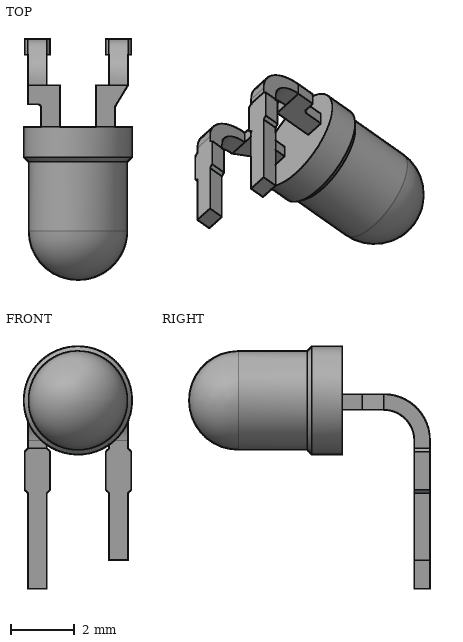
import cadquery as cq
import math


cos_45 = math.cos(math.pi / 4)

lens_radius = 1.55
lens_length = 4.8
flange_radius = 1.7
flange_length = 1.1
flange_chamfer = flange_radius - lens_radius
dome_start = lens_length - lens_radius

lead_width = 0.6
lead_thickness = 0.5
lead_pitch = 2.54
leg_outer_x = (lead_pitch + lead_width) / 2
leg_inner_x = (lead_pitch - lead_width) / 2

flat_top = 0.2
flat_bottom = flat_top - lead_thickness
flat_length = 1.3
flat_inner_x = 0.56
flat_outer_x = flat_inner_x + lead_width
arm_start = flat_length - lead_width
arm_fillet = 0.1
taper_start = 0.62

bend_inner_radius = 0.95
bend_outer_radius = bend_inner_radius + lead_thickness
bend_center_z = flat_top - bend_outer_radius
leg_back_y = flat_length + bend_outer_radius
leg_front_y = leg_back_y - lead_thickness

standoff_top = -1.5
standoff_bottom = -2.9
standoff_step = 0.1
long_leg_bottom = -5.9
short_leg_bottom = -5.0


def make_lens():
    """Flange, barrel and hemispherical dome, revolved about the Y axis."""
    dome_mid = lens_radius * cos_45
    profile = (
        cq.Workplane("XY")
        .lineTo(flange_radius, 0)
        .lineTo(flange_radius, flange_chamfer - flange_length)
        .lineTo(lens_radius, -flange_length)
        .lineTo(lens_radius, -dome_start)
        .threePointArc((dome_mid, -dome_start - dome_mid), (0, -lens_length))
        .close()
    )
    return profile.revolve(360, (0, 0, 0), (0, 1, 0))


def make_stepped_flat():
    """Flat of the long lead: a square arm steps out to the leg, with a rounded inner corner."""
    return (
        cq.Workplane("XY", origin=(0, 0, flat_bottom))
        .moveTo(-flat_inner_x, 0)
        .lineTo(-flat_inner_x, flat_length)
        .lineTo(-leg_outer_x, flat_length)
        .lineTo(-leg_outer_x, arm_start)
        .lineTo(-flat_outer_x - arm_fillet, arm_start)
        .radiusArc((-flat_outer_x, arm_start - arm_fillet), arm_fillet)
        .lineTo(-flat_outer_x, 0)
        .close()
        .extrude(lead_thickness)
    )


def make_tapered_flat():
    """Flat of the short lead: its outer edge slants out to the leg."""
    return (
        cq.Workplane("XY", origin=(0, 0, flat_bottom))
        .moveTo(flat_inner_x, 0)
        .lineTo(flat_outer_x, 0)
        .lineTo(flat_outer_x, taper_start)
        .lineTo(leg_outer_x, flat_length)
        .lineTo(flat_inner_x, flat_length)
        .close()
        .extrude(lead_thickness)
    )


def make_bend(start_x):
    """Quarter-circle bend from the flat, plus the short straight down to the stand-off."""
    outer_mid = (flat_length + bend_outer_radius * cos_45, bend_center_z + bend_outer_radius * cos_45)
    inner_mid = (flat_length + bend_inner_radius * cos_45, bend_center_z + bend_inner_radius * cos_45)
    return (
        cq.Workplane("YZ", origin=(start_x, 0, 0))
        .moveTo(flat_length, flat_top)
        .threePointArc(outer_mid, (leg_back_y, bend_center_z))
        .lineTo(leg_back_y, standoff_top)
        .lineTo(leg_front_y, standoff_top)
        .lineTo(leg_front_y, bend_center_z)
        .threePointArc(inner_mid, (flat_length, flat_bottom))
        .close()
        .extrude(lead_width)
    )


def make_leg(center_x, bottom):
    """Straight leg with the stand-off at its top, chamfered above and below."""
    half_leg = lead_width / 2
    half_standoff = half_leg + standoff_step
    right_edge = [
        (half_leg, bottom),
        (half_leg, standoff_bottom),
        (half_standoff, standoff_bottom + standoff_step),
        (half_standoff, standoff_top - standoff_step),
        (half_leg, standoff_top),
    ]
    left_edge = [(-x, z) for x, z in reversed(right_edge)]
    return (
        cq.Workplane("XZ", origin=(center_x, leg_back_y, 0))
        .polyline(right_edge + left_edge)
        .close()
        .extrude(lead_thickness)
    )


lens = make_lens()

long_flat = make_stepped_flat()
long_bend = make_bend(-leg_outer_x)
long_leg = make_leg(-lead_pitch / 2, long_leg_bottom)

short_flat = make_tapered_flat()
short_bent_leg = make_bend(leg_inner_x).union(make_leg(lead_pitch / 2, short_leg_bottom)).clean()

result = cq.Compound.makeCompound([
    lens.val(),
    long_flat.val(),
    long_bend.val(),
    long_leg.val(),
    short_flat.val(),
    short_bent_leg.val(),
])